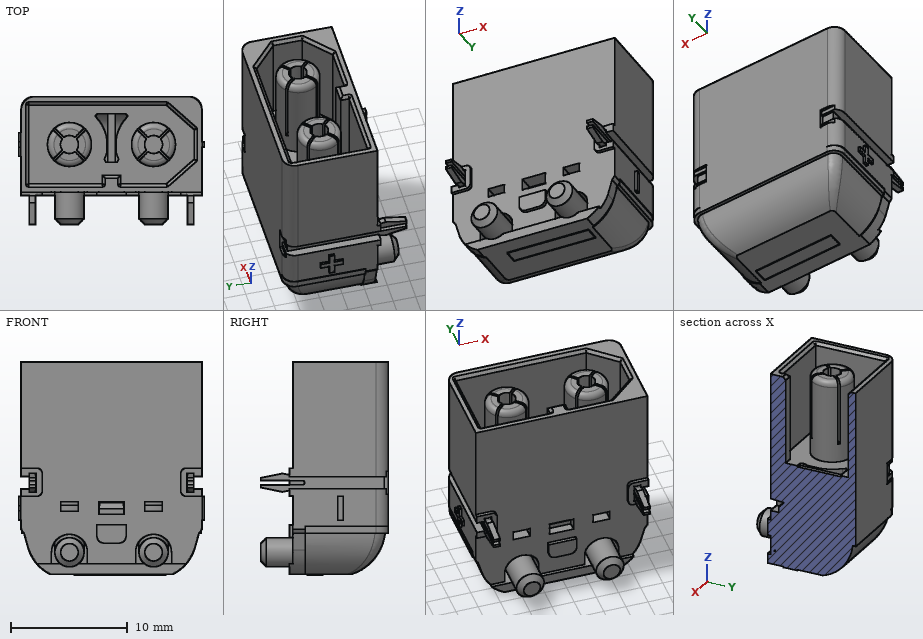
import cadquery as cq


WIDTH = 15.5
HALF_WIDTH = WIDTH / 2
BACK_Y = 4.1
FRONT_Y = -4.08
BOARD_Y = -4.38
TIP_Y = -6.85
HEIGHT = 18.2
BACK_RADIUS = 1.1

SKIRT_Z = 3.51
BAND_Z = 4.12
BAND_INSET = 0.05
SLAB_THICKNESS = 1.05
SLAB_SHOULDER_Z = 3.86
LOWER_HALF_WIDTH = 7.5
LOWER_BACK_Y = BACK_Y - 0.28
BOTTOM_HALF_WIDTH = 5.25
CHEEK_X = 7.1
CHEEK_Z = 2.1
CURVE_MID = (6.4, 0.9)
BOTTOM_BACK_Y = 0.93
BACK_CURVE_MID = (2.95, 1.4)
CORE_HALF_WIDTH = 7.4
CORE_BOTTOM_HALF_WIDTH = 5.1
CORE_CURVE_MID = (6.6, 1.28)
CORE_ROUNDING = 0.9
LIP_HEIGHT = 0.92

CAVITY_HALF_WIDTH = 7.07
CAVITY_HALF_DEPTH = 3.37
CAVITY_CORNER_X = 4.7
CAVITY_FLAT_HALF = 1.27
CAVITY_FLOOR_Z = 10.0
RIM_CHAMFER = 0.27
KEY_WIDTH = 1.6
KEY_REACH = 0.75

RECESS_TOP_Y = 2.65
RECESS_BOTTOM_Y = -1.5
RECESS_TOP_HALF_WIDTH = 1.39
RECESS_TOP_CUT = 0.2
FLARE_START = (1.2, 2.2)
FLARE_MID = (0.68, 1.4)
WAIST_HALF_WIDTH = 0.4
WAIST_TOP_Y = 0.4
WAIST_BOTTOM_Y = -0.7
RECESS_FOOT_HALF_WIDTH = 0.6
RECESS_FOOT_HEIGHT = 0.25
RECESS_FOOT_CUT = 0.1
RECESS_DEPTH = 1.8
RIB_WIDTH = 0.65
RIB_DROP = 0.1

PIN_X = 3.6
PIN_DIAMETER = 3.77
PIN_TIP_Z = HEIGHT - 0.5
PIN_ROUNDING = 0.53
PIN_BORE = 1.55
PIN_BORE_DEPTH = 6.0
PIN_SLIT = 0.2
PIN_SLIT_DEPTH = 6.0
TAIL_DIAMETER = 2.5
TAIL_CHAMFER = 0.5
TAIL_Z = 1.89
TAIL_OPENING = 3.08

SHANK_LOWER_DIAMETER = 4.2
SHANK_UPPER_DIAMETER = 3.5
SHANK_STEP_Z = 5.9
SIDE_WINDOW_WIDTH = 1.52
SIDE_WINDOW_BOTTOM = 5.4
WINDOW_TOP = 6.22
MID_WINDOW_WIDTH = 2.2
MID_WINDOW_BOTTOM = 5.13
MID_WINDOW_STEP_Z = 5.63
MID_WINDOW_DEPTH = 0.75
MID_WINDOW_DRAFT = 4

CLIP_Z = 7.85
GROOVE_HEIGHT = 1.06
GROOVE_DEPTH = 0.7
CLIP_OUTER_X = HALF_WIDTH - GROOVE_DEPTH
CLIP_THICKNESS = 0.56
CLIP_SLOT_WIDTH = 0.62
CLIP_SLOT_HEIGHT = 1.64
CLIP_SLOT_DEPTH = 1.35
CLIP_GAP = 0.36
CLIP_GAP_END_Y = -3.08
CLIP_BARB_Y = -4.98
CLIP_BARB_HALF = 0.8
CLIP_ROOT_HALF = 0.68
CLIP_TIP_HALF = 0.42
PAD_Z = 7.89
PAD_WIDTH = 1.82
PAD_HEIGHT = 2.4
PAD_RADIUS = 0.45
BACK_NOTCH_HEIGHT = 2.0
BACK_NOTCH_DEPTH = 0.2
BACK_GROOVE_DEPTH = 0.38

FOOT_WIDTH = 2.5
FOOT_TOP_Z = 4.23
FOOT_BOTTOM_Z = 2.68
FOOT_RADIUS = 0.6
MARK_RISE = 0.2
MARK_SIZE = 2.02
MARK_STROKE = 0.44
MARK_Z = 5.66
LABEL_RISE = 0.08
LABEL_WIDTH = 7.8
LABEL_DEPTH = 1.34
LABEL_X = 0.73
LABEL_Y = -2.2


def box(x_range, y_range, z_range):
    """Axis-aligned box given by its limits along X, Y and Z."""
    size = [high - low for low, high in (x_range, y_range, z_range)]
    corner = (min(x_range), min(y_range), min(z_range))
    return cq.Workplane("XY").box(*size, centered=False).translate(corner)


def along_y(plane_y):
    """Workplane whose local X and Y are the global X and Z and whose extrusion runs toward -Y."""
    return cq.Workplane("XZ", origin=(0, plane_y, 0))


def mirrored_pair(shape):
    """The shape together with its mirror image across x = 0."""
    return shape.union(shape.mirror("YZ"))


def end_outline(plane_y, shoulder_x, shoulder_z):
    """Closed outline of the rounded lower end, up to the given shoulder."""
    return (
        along_y(plane_y)
        .moveTo(-shoulder_x, shoulder_z)
        .lineTo(-LOWER_HALF_WIDTH, SKIRT_Z)
        .lineTo(-CHEEK_X, CHEEK_Z)
        .threePointArc((-CURVE_MID[0], CURVE_MID[1]), (-BOTTOM_HALF_WIDTH, 0))
        .lineTo(BOTTOM_HALF_WIDTH, 0)
        .threePointArc(CURVE_MID, (CHEEK_X, CHEEK_Z))
        .lineTo(LOWER_HALF_WIDTH, SKIRT_Z)
        .lineTo(shoulder_x, shoulder_z)
        .close()
    )


def upper_block(inset, z_range):
    """Rectangular housing section with rounded back edges, narrowed by the inset on each side."""
    half = HALF_WIDTH - inset
    block = box((-half, half), (FRONT_Y, BACK_Y), z_range)
    return block.edges("|Z and >Y").fillet(BACK_RADIUS)


def rounded_end():
    """Lower end: curved in front outline and swept up toward the back."""
    slab_back = FRONT_Y + SLAB_THICKNESS
    core = (
        along_y(LOWER_BACK_Y)
        .moveTo(-CORE_HALF_WIDTH, SKIRT_Z)
        .threePointArc((-CORE_CURVE_MID[0], CORE_CURVE_MID[1]), (-CORE_BOTTOM_HALF_WIDTH, 0))
        .lineTo(CORE_BOTTOM_HALF_WIDTH, 0)
        .threePointArc(CORE_CURVE_MID, (CORE_HALF_WIDTH, SKIRT_Z))
        .close()
        .extrude(LOWER_BACK_Y - slab_back)
    )
    sweep = (
        cq.Workplane("YZ", origin=(-HALF_WIDTH, 0, 0))
        .moveTo(FRONT_Y, 0)
        .lineTo(BOTTOM_BACK_Y, 0)
        .threePointArc(BACK_CURVE_MID, (LOWER_BACK_Y, SKIRT_Z))
        .lineTo(FRONT_Y, SKIRT_Z)
        .close()
        .extrude(WIDTH)
    )
    slab = end_outline(slab_back, HALF_WIDTH, SLAB_SHOULDER_Z).extrude(SLAB_THICKNESS)
    lip = end_outline(FRONT_Y, HALF_WIDTH, SLAB_SHOULDER_Z).extrude(FRONT_Y - BOARD_Y)
    lip = lip.intersect(box((-HALF_WIDTH, HALF_WIDTH), (BOARD_Y, FRONT_Y), (0, LIP_HEIGHT)))
    swept_core = core.intersect(sweep).edges("%BSPLINE").fillet(CORE_ROUNDING)
    return swept_core.union(slab).union(lip)


def housing():
    """Solid housing without openings."""
    slab_back = FRONT_Y + SLAB_THICKNESS
    body = upper_block(0, (BAND_Z, HEIGHT))
    band = upper_block(BAND_INSET, (SKIRT_Z, BAND_Z))
    band = band.cut(box((-WIDTH, WIDTH), (FRONT_Y, slab_back), (SKIRT_Z, BAND_Z)))
    shoulder = box((-HALF_WIDTH, HALF_WIDTH), (FRONT_Y, slab_back), (SLAB_SHOULDER_Z, BAND_Z))
    return body.union(band).union(shoulder).union(rounded_end())


def cavity():
    """Mating cavity with two cut corners on +X, a key on the front wall and a chamfered rim."""
    half_key = KEY_WIDTH / 2
    key_y = -CAVITY_HALF_DEPTH + KEY_REACH
    outline = [
        (-CAVITY_HALF_WIDTH, CAVITY_HALF_DEPTH),
        (CAVITY_CORNER_X, CAVITY_HALF_DEPTH),
        (CAVITY_HALF_WIDTH, CAVITY_FLAT_HALF),
        (CAVITY_HALF_WIDTH, -CAVITY_FLAT_HALF),
        (CAVITY_CORNER_X, -CAVITY_HALF_DEPTH),
        (half_key, -CAVITY_HALF_DEPTH),
        (half_key, key_y),
        (-half_key, key_y),
        (-half_key, -CAVITY_HALF_DEPTH),
        (-CAVITY_HALF_WIDTH, -CAVITY_HALF_DEPTH),
    ]
    depth = HEIGHT - CAVITY_FLOOR_Z
    straight = cq.Workplane("XY", origin=(0, 0, CAVITY_FLOOR_Z)).polyline(outline).close().extrude(depth)
    rim_bottom = HEIGHT - RIM_CHAMFER
    rim = (
        cq.Workplane("XY", origin=(0, 0, rim_bottom))
        .polyline(outline)
        .close()
        .extrude(RIM_CHAMFER, taper=-45)
    )
    return straight.union(rim)


def floor_recess():
    """Hourglass recess in the cavity floor, leaving the rib that stands in it."""
    half = (
        cq.Workplane("XY", origin=(0, 0, CAVITY_FLOOR_Z))
        .moveTo(0, RECESS_TOP_Y)
        .lineTo(RECESS_TOP_HALF_WIDTH - RECESS_TOP_CUT, RECESS_TOP_Y)
        .lineTo(RECESS_TOP_HALF_WIDTH, RECESS_TOP_Y - RECESS_TOP_CUT)
        .lineTo(*FLARE_START)
        .threePointArc(FLARE_MID, (WAIST_HALF_WIDTH, WAIST_TOP_Y))
        .lineTo(WAIST_HALF_WIDTH, WAIST_BOTTOM_Y)
        .lineTo(RECESS_FOOT_HALF_WIDTH, RECESS_BOTTOM_Y + RECESS_FOOT_HEIGHT)
        .lineTo(RECESS_FOOT_HALF_WIDTH - RECESS_FOOT_CUT, RECESS_BOTTOM_Y)
        .lineTo(0, RECESS_BOTTOM_Y)
        .close()
        .extrude(-RECESS_DEPTH)
    )
    rib = box(
        (-RIB_WIDTH / 2, RIB_WIDTH / 2),
        (RECESS_BOTTOM_Y, RECESS_TOP_Y),
        (CAVITY_FLOOR_Z - RECESS_DEPTH, CAVITY_FLOOR_Z - RIB_DROP),
    )
    above_rib = box(
        (-RIB_WIDTH / 2, RIB_WIDTH / 2),
        (RECESS_BOTTOM_Y, RECESS_TOP_Y),
        (CAVITY_FLOOR_Z - RIB_DROP, CAVITY_FLOOR_Z),
    )
    scoop_y = RECESS_TOP_Y - RECESS_DEPTH
    scoop = (
        cq.Workplane("YZ", origin=(0, scoop_y, CAVITY_FLOOR_Z))
        .circle(RECESS_DEPTH)
        .extrude(HALF_WIDTH, both=True)
    )
    plain_end = box(
        (-HALF_WIDTH, HALF_WIDTH),
        (RECESS_BOTTOM_Y, scoop_y),
        (CAVITY_FLOOR_Z - RECESS_DEPTH, CAVITY_FLOOR_Z),
    )
    return mirrored_pair(half).intersect(scoop.union(plain_end)).cut(rib).union(above_rib)


def contact():
    """One contact at x = 0: a split round pin on top and a bent tail below."""
    length = PIN_TIP_Z - CAVITY_FLOOR_Z
    pin = cq.Workplane("XY", origin=(0, 0, CAVITY_FLOOR_Z)).circle(PIN_DIAMETER / 2).extrude(length)
    pin = pin.faces(">Z").edges().fillet(PIN_ROUNDING)
    pin = pin.faces(">Z").workplane().hole(PIN_BORE, PIN_BORE_DEPTH)
    slit = box(
        (-PIN_DIAMETER, PIN_DIAMETER),
        (-PIN_SLIT / 2, PIN_SLIT / 2),
        (PIN_TIP_Z - PIN_SLIT_DEPTH, PIN_TIP_Z),
    )
    for angle in (45, 135):
        pin = pin.cut(slit.rotate((0, 0, 0), (0, 0, 1), angle))
    radius = TAIL_DIAMETER / 2
    tail = along_y(0).center(0, TAIL_Z).circle(radius).extrude(-TIP_Y)
    tail = tail.faces("<Y").chamfer(TAIL_CHAMFER)
    elbow = cq.Workplane("XY", origin=(0, 0, TAIL_Z)).sphere(radius)
    leg = cq.Workplane("XY", origin=(0, 0, TAIL_Z)).circle(radius).extrude(SIDE_WINDOW_BOTTOM - TAIL_Z)
    return pin.union(tail).union(elbow).union(leg)


def tail_opening():
    """Arched opening at x = 0 around the tail, from the front face back to the contact axis."""
    half = TAIL_OPENING / 2
    return (
        along_y(0)
        .moveTo(-half, LIP_HEIGHT)
        .lineTo(-half, TAIL_Z)
        .threePointArc((0, TAIL_Z + half), (half, TAIL_Z))
        .lineTo(half, LIP_HEIGHT)
        .close()
        .extrude(-FRONT_Y)
    )


def side_window():
    """Window at x = 0 that reaches back to the stepped shank of the contact."""
    half = SIDE_WINDOW_WIDTH / 2
    window = box((-half, half), (FRONT_Y, 0), (SIDE_WINDOW_BOTTOM, WINDOW_TOP))
    steps = (
        (SHANK_LOWER_DIAMETER, SIDE_WINDOW_BOTTOM, SHANK_STEP_Z),
        (SHANK_UPPER_DIAMETER, SHANK_STEP_Z, WINDOW_TOP),
    )
    for diameter, bottom, top in steps:
        shank = cq.Workplane("XY", origin=(0, 0, bottom)).circle(diameter / 2).extrude(top - bottom)
        window = window.cut(shank)
    return window


def middle_window():
    """Central window with drafted sides; its back wall leans backward above a step."""
    back = FRONT_Y + MID_WINDOW_DEPTH
    slope = WINDOW_TOP - MID_WINDOW_STEP_Z
    profile = [
        (FRONT_Y, MID_WINDOW_BOTTOM),
        (back, MID_WINDOW_BOTTOM),
        (back, MID_WINDOW_STEP_Z),
        (back + slope, WINDOW_TOP),
        (FRONT_Y, WINDOW_TOP),
    ]
    straight = cq.Workplane("YZ").polyline(profile).close().extrude(MID_WINDOW_WIDTH / 2, both=True)
    funnel = (
        cq.Workplane("ZX", origin=(0, FRONT_Y, 0))
        .rect(2 * WINDOW_TOP, MID_WINDOW_WIDTH)
        .extrude(MID_WINDOW_DEPTH + slope, taper=MID_WINDOW_DRAFT)
    )
    return straight.intersect(funnel)


def clip_pad():
    """Stand-off on the front face around the -X clip."""
    pad = box(
        (-HALF_WIDTH, PAD_WIDTH - HALF_WIDTH),
        (BOARD_Y, FRONT_Y),
        (PAD_Z - PAD_HEIGHT / 2, PAD_Z + PAD_HEIGHT / 2),
    )
    return pad.edges("|Y and >X").fillet(PAD_RADIUS)


def clip_seat():
    """Side groove wrapped onto the back, corner notch and clip slot removed on the -X side."""
    groove_z = (CLIP_Z - GROOVE_HEIGHT / 2, CLIP_Z + GROOVE_HEIGHT / 2)
    notch_z = (CLIP_Z - BACK_NOTCH_HEIGHT / 2, CLIP_Z + BACK_NOTCH_HEIGHT / 2)
    slot_z = (CLIP_Z - CLIP_SLOT_HEIGHT / 2, CLIP_Z + CLIP_SLOT_HEIGHT / 2)
    notch_x = (-HALF_WIDTH, PAD_WIDTH - HALF_WIDTH)
    around = box((-HALF_WIDTH, notch_x[1]), (BOARD_Y, BACK_Y), groove_z)
    kept_core = box((-CLIP_OUTER_X, 0), (BOARD_Y, BACK_Y - BACK_GROOVE_DEPTH), groove_z)
    notch = box(notch_x, (BACK_Y - BACK_NOTCH_DEPTH, BACK_Y), notch_z)
    slot = box(
        (-CLIP_OUTER_X, CLIP_SLOT_WIDTH - CLIP_OUTER_X),
        (BOARD_Y, BOARD_Y + CLIP_SLOT_DEPTH),
        slot_z,
    )
    return around.cut(kept_core).union(notch).union(slot)


def clip_gap():
    """Round-ended gap that splits the -X clip into two prongs."""
    radius = CLIP_GAP / 2
    round_y = CLIP_GAP_END_Y - radius
    return (
        cq.Workplane("YZ", origin=(-CLIP_OUTER_X, 0, 0))
        .moveTo(TIP_Y, CLIP_Z - radius)
        .lineTo(round_y, CLIP_Z - radius)
        .threePointArc((CLIP_GAP_END_Y, CLIP_Z), (round_y, CLIP_Z + radius))
        .lineTo(TIP_Y, CLIP_Z + radius)
        .close()
        .extrude(CLIP_THICKNESS)
    )


def clip():
    """Flat barbed clip on the -X side, seated at the back of its slot."""
    upper = [
        (BOARD_Y + CLIP_SLOT_DEPTH, CLIP_ROOT_HALF),
        (BOARD_Y, CLIP_ROOT_HALF),
        (CLIP_BARB_Y, CLIP_BARB_HALF),
        (TIP_Y, CLIP_TIP_HALF),
    ]
    outline = [(y, CLIP_Z + half) for y, half in upper]
    outline += [(y, CLIP_Z - half) for y, half in reversed(upper)]
    plate = cq.Workplane("YZ", origin=(-CLIP_OUTER_X, 0, 0)).polyline(outline).close()
    return plate.extrude(CLIP_THICKNESS)


def centre_foot():
    """D-shaped stand-off in the middle of the front face."""
    half = FOOT_WIDTH / 2
    foot = box((-half, half), (BOARD_Y, FRONT_Y), (FOOT_BOTTOM_Z, FOOT_TOP_Z))
    return foot.edges("|Y and <Z").fillet(FOOT_RADIUS)


def polarity_marks():
    """Raised plus on the -X side and raised bar on the +X side."""
    half = MARK_SIZE / 2
    stroke = MARK_STROKE / 2
    upright_z = (MARK_Z - half, MARK_Z + half)
    left_x = (-HALF_WIDTH - MARK_RISE, -HALF_WIDTH)
    right_x = (HALF_WIDTH, HALF_WIDTH + MARK_RISE)
    plus = box(left_x, (-stroke, stroke), upright_z)
    plus = plus.union(box(left_x, (-half, half), (MARK_Z - stroke, MARK_Z + stroke)))
    return plus.union(box(right_x, (-stroke, stroke), upright_z))


def label_pad():
    """Thin raised panel under the bottom face."""
    x_range = (LABEL_X - LABEL_WIDTH / 2, LABEL_X + LABEL_WIDTH / 2)
    y_range = (LABEL_Y - LABEL_DEPTH / 2, LABEL_Y + LABEL_DEPTH / 2)
    return box(x_range, y_range, (-LABEL_RISE, 0))


body = housing().union(mirrored_pair(clip_pad())).union(centre_foot())
body = body.cut(cavity()).cut(floor_recess()).cut(middle_window())
for x in (-PIN_X, PIN_X):
    body = body.cut(tail_opening().translate((x, 0, 0)))
    body = body.cut(side_window().translate((x, 0, 0)))
    body = body.union(contact().translate((x, 0, 0)))
body = body.cut(mirrored_pair(clip_seat()))
body = body.union(mirrored_pair(clip())).cut(mirrored_pair(clip_gap()))
result = body.union(polarity_marks()).union(label_pad())